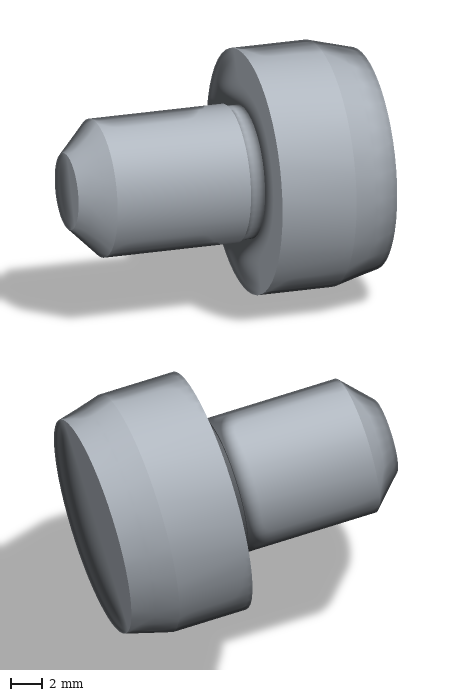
import cadquery as cq
import math

total_length = 20.0
head_radius = 8.0
head_length = 8.0
head_taper_length = 3.0
head_taper_angle = 15.0
neck_radius = 4.35
neck_length = 1.0
shank_radius = 4.5
tip_chamfer = 2.0

head_end_radius = head_radius - head_taper_length * math.tan(math.radians(head_taper_angle))
head_taper_start = head_length - head_taper_length
tip_y = head_length - total_length
tip_radius = shank_radius - tip_chamfer

half_section = [
    (0, tip_y),
    (tip_radius, tip_y),
    (shank_radius, tip_y + tip_chamfer),
    (shank_radius, -neck_length),
    (neck_radius, -neck_length),
    (neck_radius, 0),
    (head_radius, 0),
    (head_radius, head_taper_start),
    (head_end_radius, head_length),
    (0, head_length),
]

result = (
    cq.Workplane("XY")
    .polyline(half_section)
    .close()
    .revolve(360, (0, 0, 0), (0, 1, 0))
)